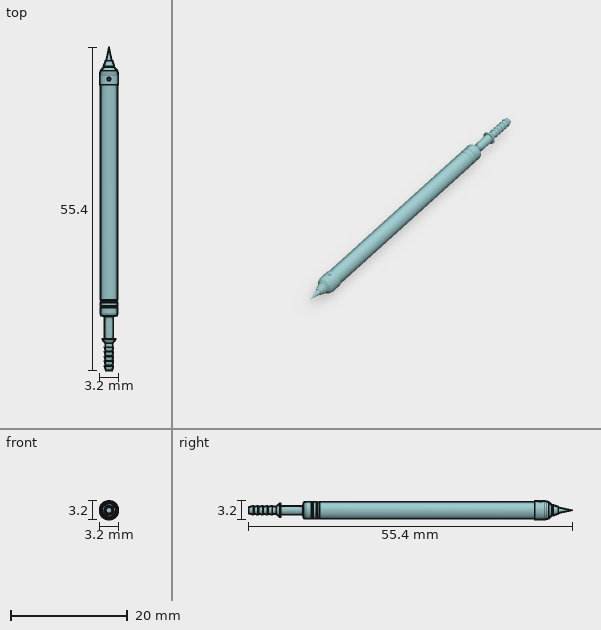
import cadquery as cq

length = 55.4

tail_radius = 0.55
barb_root_radius = 0.6
barb_radius = 0.8
barb_count = 5
first_barb_y = 0.8
last_barb_y = 4.0
barb_pitch = (last_barb_y - first_barb_y) / (barb_count - 1)
barb_bevel = 0.14
stem_radius = 0.65

flare_start_y = 4.7
flange_rim_y = 5.3
flange_end_y = 5.5
flange_radius = 1.15

neck_radius = 0.8
neck_end_y = 9.25

barrel_diameter = 2.95
barrel_radius = barrel_diameter / 2
barrel_rear_y = 9.4
barrel_rear_radius = 1.4
rear_taper_end_y = 9.75

groove_depth = 0.1
grooves = [(10.9, 0.35), (11.85, 0.55)]

collar_start_y = 49.0
collar_end_y = 50.65
collar_radius = 1.6
dimple_y = 49.9
dimple_radius = 0.3
dimple_depth = 0.15

nose_edge_y = 50.95
nose_edge_radius = 1.55
nose_shoulder_y = 51.35
nose_shoulder_radius = 1.45
nose_front_y = 51.9
nose_front_radius = 0.95

plunger_cone_y = 52.15
plunger_front_y = 53.0
plunger_front_radius = 0.6
needle_radius = 0.5


def barb_points():
    """Outline of the barbs, from the tail end to the stem; the last one ends in a square step."""
    points = [(tail_radius, 0)]
    for index in range(barb_count - 1):
        peak_y = first_barb_y + index * barb_pitch
        points += [(barb_radius, peak_y), (barb_root_radius, peak_y + barb_bevel)]
    points += [(barb_radius, last_barb_y), (stem_radius, last_barb_y)]
    return points


def groove_points():
    """Outline of the V grooves in the barrel."""
    points = []
    for center_y, width in grooves:
        points += [
            (barrel_radius, center_y - width / 2),
            (barrel_radius - groove_depth, center_y),
            (barrel_radius, center_y + width / 2),
        ]
    return points


def turned_body():
    """Half outline as (radius, y) points, turned about the Y axis."""
    outline = [
        (0, 0),
        *barb_points(),
        (stem_radius, flare_start_y),
        (flange_radius, flange_rim_y),
        (flange_radius, flange_end_y),
        (neck_radius, flange_end_y),
        (neck_radius, neck_end_y),
        (barrel_rear_radius, barrel_rear_y),
        (barrel_radius, rear_taper_end_y),
        *groove_points(),
        (barrel_radius, collar_start_y),
        (collar_radius, collar_start_y),
        (collar_radius, collar_end_y),
        (nose_edge_radius, nose_edge_y),
        (nose_shoulder_radius, nose_shoulder_y),
        (nose_front_radius, nose_front_y),
        (nose_front_radius, plunger_cone_y),
        (plunger_front_radius, plunger_front_y),
        (needle_radius, plunger_front_y),
        (0, length),
    ]
    return cq.Workplane("XY").polyline(outline).close().revolve(360, (0, 0), (0, 1))


def dimple(side):
    """Cutter for a round dimple in the collar: side is 1 for the top, -1 for the bottom."""
    start = cq.Workplane("XY", origin=(0, dimple_y, side * collar_radius))
    return start.circle(dimple_radius).extrude(-side * dimple_depth)


result = turned_body().cut(dimple(1)).cut(dimple(-1))